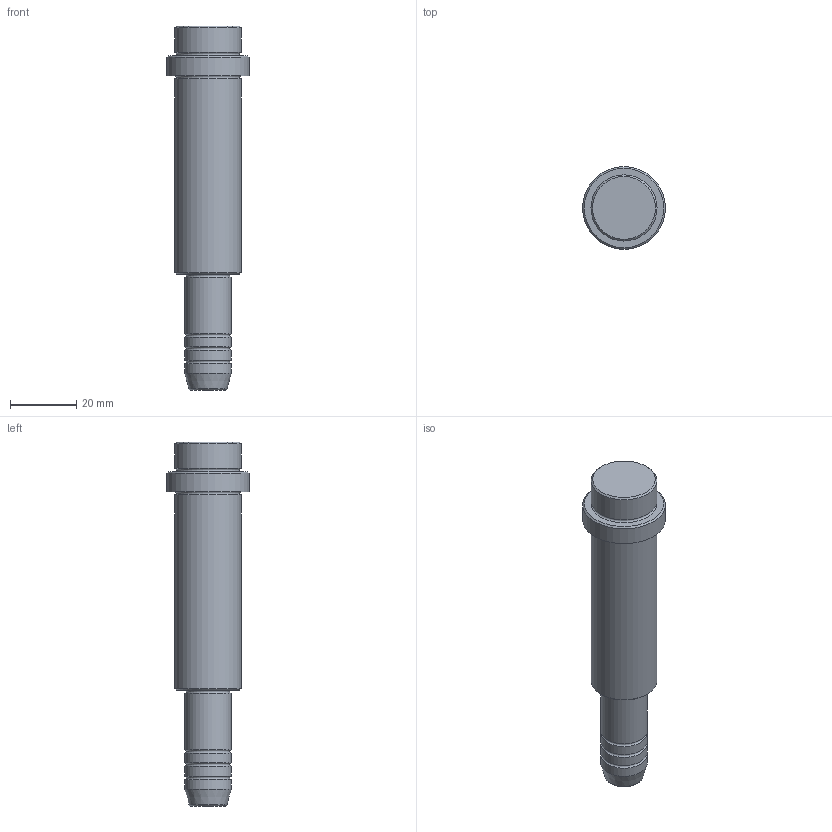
import cadquery as cq
import math

total_length = 110.0
body_radius = 10.0
collar_radius = 12.5
tail_radius = 7.0

taper_length = 5.0
tail_length = 35.0
collar_bottom = 95.0
collar_height = 6.0
collar_top = collar_bottom + collar_height

taper_angle = 15.0
tip_radius = tail_radius - taper_length * math.tan(math.radians(taper_angle))
tip_fillet = 0.5

edge_chamfer = 0.5
groove_radius = 0.5

ring_count = 3
ring_pitch = 4.0
lowest_ring = 8.5


def cylinder(radius, bottom, top):
    """Round section of the pin between two heights."""
    return cq.Workplane("XY").workplane(offset=bottom).circle(radius).extrude(top - bottom)


def make_tail():
    """Tail with a conical tip, rounded at the end face."""
    tip = (
        cq.Workplane("XY")
        .circle(tip_radius)
        .workplane(offset=taper_length)
        .circle(tail_radius)
        .loft(combine=True)
        .faces("<Z")
        .fillet(tip_fillet)
    )
    return tip.union(cylinder(tail_radius, taper_length, tail_length))


def make_body():
    """Long guide section, chamfered at its lower edge."""
    return cylinder(body_radius, tail_length, collar_bottom).faces("<Z").chamfer(edge_chamfer)


def make_collar():
    """Locating collar, chamfered at its upper rim only."""
    return cylinder(collar_radius, collar_bottom, collar_top).faces(">Z").chamfer(edge_chamfer)


def make_head():
    """Short head above the collar, chamfered at the top."""
    return cylinder(body_radius, collar_top, total_length).faces(">Z").chamfer(edge_chamfer)


def half_round_groove(surface_radius, height):
    """Ring cutter whose round section is centred on a cylindrical surface at the given height."""
    return (
        cq.Workplane("XZ")
        .center(surface_radius, height)
        .circle(groove_radius)
        .revolve(360, (-surface_radius, 0), (-surface_radius, 1))
    )


pin = make_tail().union(make_body()).union(make_collar()).union(make_head())

pin = pin.cut(half_round_groove(tail_radius, tail_length - groove_radius))
pin = pin.cut(half_round_groove(body_radius, collar_bottom - groove_radius))
pin = pin.cut(half_round_groove(body_radius, collar_top + groove_radius))

for index in range(ring_count):
    pin = pin.cut(half_round_groove(tail_radius, lowest_ring + index * ring_pitch))

result = pin